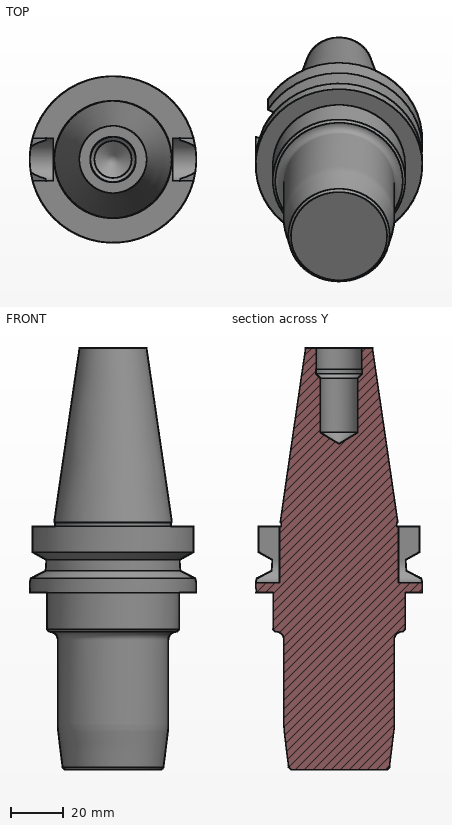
import cadquery as cq
import math

LENGTH = 159.4

TAPER_RATIO = 7 / 24
GAUGE_DIAMETER = 44.5
TAPER_LENGTH = 65.4
NECK_DIAMETER = 44.0
NECK_CHAMFER = 0.2
NECK_LAND = 0.5

FLANGE_DIAMETER = 63.0
FLANGE_TOP_GAP = 2.0
FLANGE_HEIGHT = 25.0
UPPER_RIM_HEIGHT = 9.7
LOWER_RIM_HEIGHT = 5.4
GROOVE_DIAMETER = 53.1
GROOVE_FLANK_ANGLE = 30.0

SLOT_WIDTH = 16.1
SLOT_FLOOR_FROM_AXIS = 22.5
SLOT_DEPTH = 21.2

COLLAR_DIAMETER = 50.0
COLLAR_SHOULDER_Z = 52.1
COLLAR_CHAMFER = 1.0
BODY_DIAMETER = 42.0
BODY_FILLET = 2.9

NOSE_BLEND_TOP_Z = 17.2
NOSE_BLEND_BOTTOM_Z = 14.8
NOSE_ANGLE = 7.0
NOSE_CHAMFER = 1.0

ENTRY_DIAMETER = 17.0
ENTRY_DEPTH = 8.0
RECESS_DIAMETER = 17.4
RECESS_DEPTH = 9.7
HOLE_DIAMETER = 14.0
HOLE_DEPTH = 31.9
DRILL_POINT_ANGLE = 118.0

gauge_z = LENGTH - TAPER_LENGTH
taper_end_radius = (GAUGE_DIAMETER - TAPER_LENGTH * TAPER_RATIO) / 2
flange_top = gauge_z - FLANGE_TOP_GAP
flange_bottom = flange_top - FLANGE_HEIGHT


def make_turned_body():
    """Revolve the outer half profile, drawn as (radius, z), about the Z axis."""
    neck_radius = NECK_DIAMETER / 2
    flange_radius = FLANGE_DIAMETER / 2
    groove_radius = GROOVE_DIAMETER / 2
    collar_radius = COLLAR_DIAMETER / 2
    body_radius = BODY_DIAMETER / 2

    groove_top = flange_top - UPPER_RIM_HEIGHT
    groove_bottom = flange_bottom + LOWER_RIM_HEIGHT
    flank_height = (flange_radius - groove_radius) * math.tan(math.radians(GROOVE_FLANK_ANGLE))

    slope = math.radians(NOSE_ANGLE)
    blend_radius = (NOSE_BLEND_TOP_Z - NOSE_BLEND_BOTTOM_Z) / math.sin(slope)
    blend_end_radius = body_radius - blend_radius * (1 - math.cos(slope))
    blend_mid = (
        body_radius - blend_radius * (1 - math.cos(slope / 2)),
        NOSE_BLEND_TOP_Z - blend_radius * math.sin(slope / 2),
    )
    nose_drop = NOSE_BLEND_BOTTOM_Z - NOSE_CHAMFER
    nose_radius = blend_end_radius - nose_drop * math.tan(slope)

    fillet_bottom = COLLAR_SHOULDER_Z - BODY_FILLET
    fillet_offset = BODY_FILLET * (1 - math.sqrt(0.5))
    fillet_mid = (body_radius + fillet_offset, COLLAR_SHOULDER_Z - fillet_offset)

    profile = (
        cq.Workplane("XZ")
        .moveTo(0, LENGTH)
        .lineTo(taper_end_radius, LENGTH)
        .lineTo(GAUGE_DIAMETER / 2, gauge_z)
        .lineTo(GAUGE_DIAMETER / 2, gauge_z - NECK_LAND)
        .lineTo(neck_radius, gauge_z - NECK_LAND - NECK_CHAMFER)
        .lineTo(neck_radius, flange_top)
        .lineTo(flange_radius, flange_top)
        .lineTo(flange_radius, groove_top)
        .lineTo(groove_radius, groove_top - flank_height)
        .lineTo(groove_radius, groove_bottom + flank_height)
        .lineTo(flange_radius, groove_bottom)
        .lineTo(flange_radius, flange_bottom)
        .lineTo(collar_radius, flange_bottom)
        .lineTo(collar_radius, COLLAR_SHOULDER_Z + COLLAR_CHAMFER)
        .lineTo(collar_radius - COLLAR_CHAMFER, COLLAR_SHOULDER_Z)
        .lineTo(body_radius + BODY_FILLET, COLLAR_SHOULDER_Z)
        .threePointArc(fillet_mid, (body_radius, fillet_bottom))
        .lineTo(body_radius, NOSE_BLEND_TOP_Z)
        .threePointArc(blend_mid, (blend_end_radius, NOSE_BLEND_BOTTOM_Z))
        .lineTo(nose_radius, NOSE_CHAMFER)
        .lineTo(nose_radius - NOSE_CHAMFER, 0)
        .lineTo(0, 0)
        .close()
    )
    return profile.revolve(360, (0, 0, 0), (0, 1, 0))


def make_bore():
    """Counterbore with a recess at its foot, 45 degree chamfer and drilled hole with a conical floor."""
    entry_radius = ENTRY_DIAMETER / 2
    recess_radius = RECESS_DIAMETER / 2
    hole_radius = HOLE_DIAMETER / 2
    entry_floor = LENGTH - ENTRY_DEPTH
    recess_floor = LENGTH - RECESS_DEPTH
    chamfer_floor = recess_floor - (recess_radius - hole_radius)
    hole_floor = LENGTH - HOLE_DEPTH
    tip_z = hole_floor - hole_radius / math.tan(math.radians(DRILL_POINT_ANGLE / 2))
    profile = (
        cq.Workplane("XZ")
        .moveTo(0, LENGTH)
        .lineTo(entry_radius, LENGTH)
        .lineTo(entry_radius, entry_floor)
        .lineTo(recess_radius, entry_floor)
        .lineTo(recess_radius, recess_floor)
        .lineTo(hole_radius, chamfer_floor)
        .lineTo(hole_radius, hole_floor)
        .lineTo(0, tip_z)
        .close()
    )
    return profile.revolve(360, (0, 0, 0), (0, 1, 0))


def make_drive_slot(side):
    """Slot cutter for one side: +1 cuts at +X, -1 cuts at -X."""
    half_width = SLOT_WIDTH / 2
    slot_bottom = flange_top - SLOT_DEPTH
    return (
        cq.Workplane("YZ", origin=(side * SLOT_FLOOR_FROM_AXIS, 0, 0))
        .moveTo(-half_width, flange_top)
        .lineTo(-half_width, slot_bottom + half_width)
        .threePointArc((0, slot_bottom), (half_width, slot_bottom + half_width))
        .lineTo(half_width, flange_top)
        .close()
        .extrude(side * FLANGE_DIAMETER / 2)
    )


result = make_turned_body().cut(make_bore())
for side in (1, -1):
    result = result.cut(make_drive_slot(side))